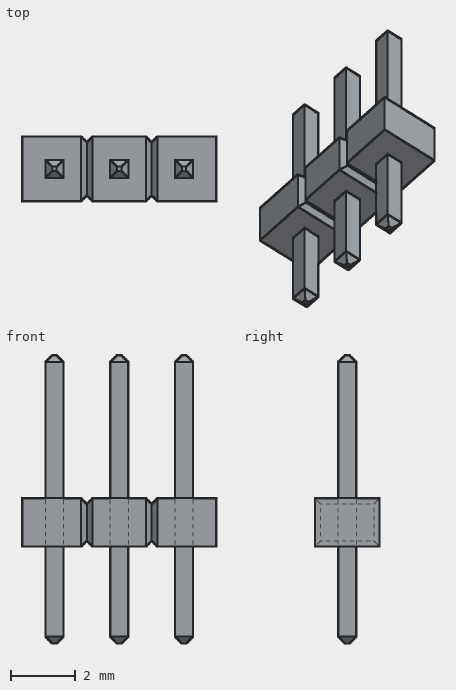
import cadquery as cq

PIN_COUNT = 3
HOUSING_LENGTH = 6.0
HOUSING_WIDTH = 2.0
HOUSING_HEIGHT = 1.495
PITCH = HOUSING_LENGTH / PIN_COUNT
GROOVE_DEPTH = 0.18

PIN_LENGTH = 8.9
PIN_SIDE = 0.56
PIN_POINT = 0.21
PIN_TAIL = 2.99

PIN_POSITIONS = [(i - (PIN_COUNT - 1) / 2) * PITCH for i in range(PIN_COUNT)]


def make_cell(index):
    """Block for one pin, chamfered at each end face that meets another cell."""
    cell = cq.Workplane("XY", origin=(PIN_POSITIONS[index], 0, 0)).box(
        PITCH, HOUSING_WIDTH, HOUSING_HEIGHT, centered=(True, True, False)
    )
    if index > 0:
        cell = cell.faces("<X").chamfer(GROOVE_DEPTH)
    if index < PIN_COUNT - 1:
        cell = cell.faces(">X").chamfer(GROOVE_DEPTH)
    return cell


def make_pin(x):
    """Square pin with both ends chamfered to a point."""
    return (
        cq.Workplane("XY", origin=(x, 0, -PIN_TAIL))
        .rect(PIN_SIDE, PIN_SIDE)
        .extrude(PIN_LENGTH)
        .faces("<Z or >Z")
        .chamfer(PIN_POINT)
    )


def make_housing(pins):
    """Joined row of cells with a through hole fitting each pin."""
    housing = make_cell(0)
    for index in range(1, PIN_COUNT):
        housing = housing.union(make_cell(index))
    for pin in pins:
        housing = housing.cut(pin)
    return housing


pins = [make_pin(x) for x in PIN_POSITIONS]
housing = make_housing(pins)

result = cq.Compound.makeCompound([housing.solids().val(), *[pin.val() for pin in pins]])